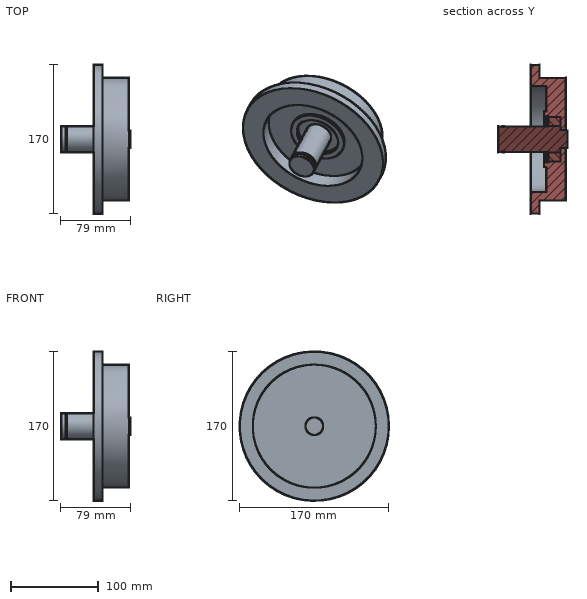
import cadquery as cq

axle_diameter = 30.0
stub_diameter = 20.0
axle_groove_diameter = 28.0
axle_groove_start = 5.0
axle_groove_width = 2.0
axle_length = 79.0

flange_diameter = 170.0
flange_width = 10.0
tread_diameter = 140.0
tread_width = 30.0
stub_projection = 2.0
wheel_end = axle_length - stub_projection
wheel_start = wheel_end - tread_width - flange_width
recess_diameter = 120.0
recess_depth = 17.5
recess_floor = wheel_start + recess_depth

hub_diameter = 64.0
hub_height = 2.5
hub_face = recess_floor - hub_height
bore_groove_diameter = 52.0
bore_lip = 2.7
bore_groove_width = 2.0
bore_groove_start = hub_face + bore_lip

bearing_diameter = 50.0
bearing_width = 14.0
bearing_start = bore_groove_start + bore_groove_width
bearing_end = bearing_start + bearing_width


def cylinder(diameter, start, end):
    """Solid cylinder about the X axis between two X positions."""
    return cq.Workplane("YZ", origin=(start, 0, 0)).circle(diameter / 2).extrude(end - start)


def ring(outer_diameter, inner_diameter, start, end):
    """Hollow cylinder about the X axis between two X positions."""
    return cylinder(outer_diameter, start, end).cut(cylinder(inner_diameter, start, end))


def make_wheel():
    """Flanged wheel with a recessed side, a low hub and a stepped bore."""
    flange = cylinder(flange_diameter, wheel_start, wheel_start + flange_width)
    tread = cylinder(tread_diameter, wheel_start + flange_width, wheel_end)
    recess = cylinder(recess_diameter, wheel_start, recess_floor)
    hub = cylinder(hub_diameter, hub_face, recess_floor)
    wheel = flange.union(tread).cut(recess).union(hub)

    bearing_bore = cylinder(bearing_diameter, hub_face, bearing_end)
    bore_groove = cylinder(bore_groove_diameter, bore_groove_start, bore_groove_start + bore_groove_width)
    stub_hole = cylinder(stub_diameter, bearing_end, wheel_end)
    return wheel.cut(bearing_bore).cut(bore_groove).cut(stub_hole)


def make_bearing():
    """Plain bearing ring between the hub bore and the axle."""
    return ring(bearing_diameter, axle_diameter, bearing_start, bearing_end)


def make_axle():
    """Axle stepped down to a stub behind the bearing, with a groove near its free end."""
    shaft = cylinder(axle_diameter, 0, bearing_end)
    stub = cylinder(stub_diameter, bearing_end, axle_length)
    groove = ring(
        axle_diameter, axle_groove_diameter, axle_groove_start, axle_groove_start + axle_groove_width
    )
    return shaft.union(stub).cut(groove)


wheel = make_wheel()
bearing = make_bearing()
axle = make_axle()

result = cq.Compound.makeCompound([wheel.val(), bearing.val(), axle.val()])